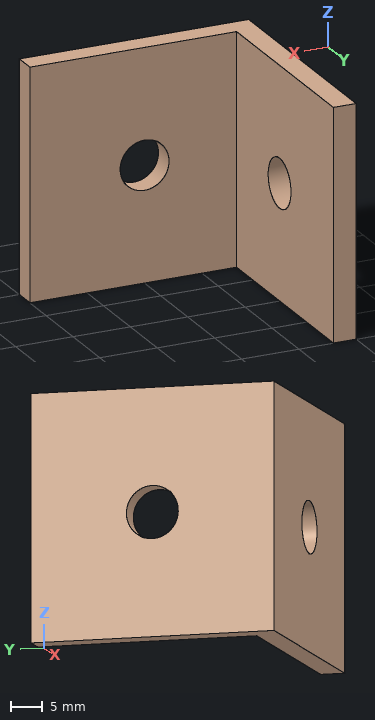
import cadquery as cq

side = 40.0
thickness = 4.0
hole_diameter = 8.5

middle = side / 2


def leg(length_x, length_y):
    """Upright plate with one corner on the outer edge of the angle."""
    return cq.Workplane("XY").box(length_x, length_y, side, centered=False)


def hole(direction):
    """Cylinder that passes through the leg facing the given direction."""
    start = cq.Vector(middle, middle, middle) - direction * middle
    return cq.Workplane(cq.Solid.makeCylinder(hole_diameter / 2, thickness, start, direction))


angle = leg(side, thickness).union(leg(thickness, side))

result = angle
for direction in (cq.Vector(1, 0, 0), cq.Vector(0, 1, 0)):
    result = result.cut(hole(direction))